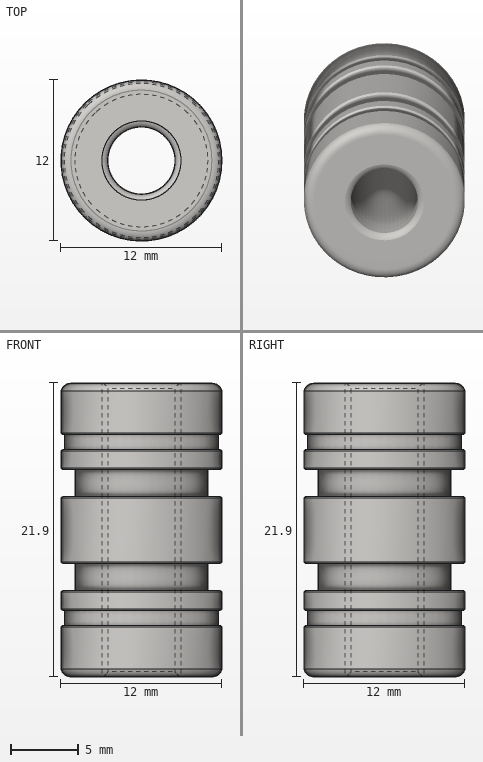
import cadquery as cq

length = 21.87
half_length = length / 2
outer_radius = 6.0
bore_radius = 2.5
liner_thickness = 0.45
liner_outer_radius = bore_radius + liner_thickness

rim_width = 0.75
rim_height = 0.57
rim_radius = (rim_width**2 + rim_height**2) / (2 * rim_height)

inner_rim_height = 0.4

edge_chamfer = 0.13
retaining_groove_radius = 5.75
retaining_groove_width = 1.1
retaining_groove_z = 6.55
wide_groove_radius = 4.95
wide_groove_width = 2.0
wide_groove_z = 3.5
cutter_clearance = 1.0


def make_shell_blank():
    """Shell without grooves: its half section revolved about Z."""
    end_face_radius = outer_radius - rim_width
    side_half = half_length - rim_height
    return (
        cq.Workplane("XZ")
        .moveTo(liner_outer_radius, -half_length)
        .lineTo(liner_outer_radius, half_length)
        .lineTo(end_face_radius, half_length)
        .radiusArc((outer_radius, side_half), rim_radius)
        .lineTo(outer_radius, -side_half)
        .radiusArc((end_face_radius, -half_length), rim_radius)
        .close()
        .revolve(360, (0, 0), (0, 1))
    )


def make_groove_cutter(floor_radius, width, center_z):
    """Ring that cuts one groove, flared to chamfer both of the groove's outer edges."""
    floor_half = width / 2
    mouth_half = floor_half + edge_chamfer
    chamfer_radius = outer_radius - edge_chamfer
    clear_radius = outer_radius + cutter_clearance
    return (
        cq.Workplane("XZ")
        .moveTo(floor_radius, -floor_half)
        .lineTo(floor_radius, floor_half)
        .lineTo(chamfer_radius, floor_half)
        .lineTo(outer_radius, mouth_half)
        .lineTo(clear_radius, mouth_half)
        .lineTo(clear_radius, -mouth_half)
        .lineTo(outer_radius, -mouth_half)
        .lineTo(chamfer_radius, -floor_half)
        .close()
        .revolve(360, (0, 0), (0, 1))
        .translate((0, 0, center_z))
    )


def make_shell():
    """Outer sleeve with a retaining-ring groove and a wide groove on each half."""
    shell = make_shell_blank()
    for side in (-1, 1):
        shell = shell.cut(
            make_groove_cutter(retaining_groove_radius, retaining_groove_width, side * retaining_groove_z)
        )
        shell = shell.cut(make_groove_cutter(wide_groove_radius, wide_groove_width, side * wide_groove_z))
    return shell


def make_liner():
    """Thin tube lining the shell, its wall rounded off toward the bore at both ends."""
    bore_half = half_length - inner_rim_height
    return (
        cq.Workplane("XZ")
        .moveTo(bore_radius, -bore_half)
        .lineTo(bore_radius, bore_half)
        .radiusArc((liner_outer_radius, half_length), rim_radius)
        .lineTo(liner_outer_radius, -half_length)
        .radiusArc((bore_radius, -bore_half), rim_radius)
        .close()
        .revolve(360, (0, 0), (0, 1))
    )


shell = make_shell()
liner = make_liner()
result = cq.Compound.makeCompound([shell.val(), liner.val()])